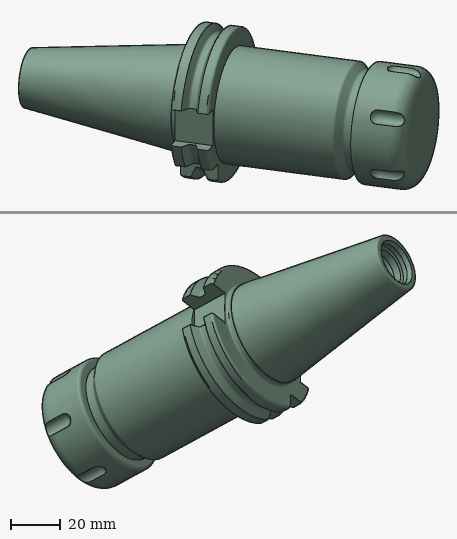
import cadquery as cq
import math

total_length = 168.2
gauge_x = 68.3
flange_front_x = 71.2
flange_back_x = 87.3
body_end_x = 138.3
nut_back_x = 145.5

taper_ratio = 7 / 48
gauge_radius = 22.2
taper_end_x = 67.5
tip_round = 0.8

relief_start_x = 68.5
relief_radius = 21.9
relief_fillet = 1.0

mouth_radius = 9.8
mouth_chamfer_end_x = 2.0
counterbore_radius = 9.1
counterbore_end_x = 4.0
pilot_radius = 7.9
pilot_start_x = 4.5
pilot_end_x = 7.7
drill_radius = 6.9
drill_start_x = 9.3
drill_end_x = 30.3
drill_point_angle = 118.0

flange_diameter = 63.5
flange_radius = flange_diameter / 2
flange_edge_round = 1.0
groove_x = (flange_front_x + flange_back_x) / 2
groove_radius = 28.1
groove_bottom_width = 2.9
groove_flank_angle = 30.0
groove_corner_fillet = 0.8
drive_slot_width = 15.8
near_slot_floor = 25.0
far_slot_floor = 22.5
corner_notch_offset = 18.5
corner_notch_fillet = 1.0

body_radius = 24.0
neck_radius = 20.9
shoulder_round = 0.8

nut_radius = 25.0
nut_front_round = 6.0
nut_back_round = 1.3
wrench_slot_count = 6
wrench_slot_radius = 3.0
wrench_slot_depth = 2.4
wrench_slot_start_x = 156.1

position_tolerance = 0.02


def revolve_about_x(profile):
    """Spin a closed profile drawn as (x, radius) about the X axis."""
    return profile.close().revolve(360, (0, 0, 0), (1, 0, 0))


def round_circles(solid, places, fillet_radius):
    """Fillet the circular edges found at the given (x, radius) places."""

    def is_wanted(edge):
        return any(
            abs(edge.Center().x - x) < position_tolerance and abs(edge.radius() - radius) < position_tolerance
            for x, radius in places
        )

    edges = solid.edges("%CIRCLE").filter(is_wanted)
    return solid.newObject(edges.vals()).fillet(fillet_radius)


def taper_radius(x):
    """Radius of the cone at a station, reaching the gauge radius at the gauge plane."""
    return gauge_radius - taper_ratio * (gauge_x - x)


def make_shank_and_flange():
    groove_half_bottom = groove_bottom_width / 2
    groove_depth = flange_radius - groove_radius
    groove_half_top = groove_half_bottom + groove_depth * math.tan(math.radians(groove_flank_angle))
    groove_corners = [
        (groove_x - groove_half_bottom, groove_radius),
        (groove_x + groove_half_bottom, groove_radius),
    ]
    flange_front_edge = (flange_front_x, flange_radius)
    flange_back_edge = (flange_back_x, flange_radius)
    tip_edge = (0, taper_radius(0))
    relief_corner = (flange_front_x, relief_radius)
    taper_end_radius = taper_radius(taper_end_x)
    profile = cq.Workplane("XY").polyline([
        (0, 0),
        tip_edge,
        (taper_end_x, taper_end_radius),
        (relief_start_x, taper_end_radius),
        (relief_start_x, relief_radius),
        relief_corner,
        flange_front_edge,
        (groove_x - groove_half_top, flange_radius),
        *groove_corners,
        (groove_x + groove_half_top, flange_radius),
        flange_back_edge,
        (flange_back_x, 0),
    ])
    shank = revolve_about_x(profile)
    shank = round_circles(shank, [tip_edge], tip_round)
    shank = round_circles(shank, [relief_corner], relief_fillet)
    shank = round_circles(shank, [flange_front_edge, flange_back_edge], flange_edge_round)
    return round_circles(shank, groove_corners, groove_corner_fillet)


def make_body_and_neck():
    shoulder_start = (body_end_x, body_radius)
    shoulder_end = (body_end_x + body_radius - neck_radius, neck_radius)
    profile = cq.Workplane("XY").polyline([
        (flange_back_x, 0),
        (flange_back_x, body_radius),
        shoulder_start,
        shoulder_end,
        (nut_back_x, neck_radius),
        (nut_back_x, 0),
    ])
    return round_circles(revolve_about_x(profile), [shoulder_start, shoulder_end], shoulder_round)


def make_drawbar_hole():
    point_length = drill_radius / math.tan(math.radians(drill_point_angle / 2))
    profile = cq.Workplane("XY").polyline([
        (0, 0),
        (0, mouth_radius),
        (mouth_chamfer_end_x, counterbore_radius),
        (counterbore_end_x, counterbore_radius),
        (pilot_start_x, pilot_radius),
        (pilot_end_x, pilot_radius),
        (drill_start_x, drill_radius),
        (drill_end_x, drill_radius),
        (drill_end_x + point_length, 0),
    ])
    return revolve_about_x(profile)


def flange_cutter(y_start, y_end, z_start, z_end):
    """Box across the full flange thickness."""
    return cq.Workplane("XY").box(
        flange_back_x - flange_front_x, y_end - y_start, z_end - z_start, centered=False
    ).translate((flange_front_x, y_start, z_start))


def make_drive_slots():
    half_width = drive_slot_width / 2
    near = flange_cutter(-flange_radius, -near_slot_floor, -half_width, half_width)
    far = flange_cutter(far_slot_floor, flange_radius, -half_width, half_width)
    return near.union(far)


def make_corner_notch():
    """Square notch in the -Y, -Z quadrant of the flange, rounded in its inner corner."""
    notch = flange_cutter(-flange_radius, -corner_notch_offset, -flange_radius, -corner_notch_offset)
    return notch.edges("|X and >Y and >Z").fillet(corner_notch_fillet)


def make_holder():
    shank = make_shank_and_flange().cut(make_drive_slots()).cut(make_corner_notch())
    return shank.union(make_body_and_neck()).cut(make_drawbar_hole())


def make_wrench_slot():
    """Round-bottomed slot on the +Z side, with a ball end toward the holder."""
    ball = cq.Workplane("XY").sphere(wrench_slot_radius)
    run = cq.Workplane("YZ").circle(wrench_slot_radius).extrude(total_length - wrench_slot_start_x)
    slot_axis_z = nut_radius - wrench_slot_depth + wrench_slot_radius
    return ball.union(run).translate((wrench_slot_start_x, 0, slot_axis_z))


def make_collet_nut():
    round_middle = nut_front_round * math.sqrt(0.5)
    front_centre_x = total_length - nut_front_round
    front_face_radius = nut_radius - nut_front_round
    profile = (
        cq.Workplane("XY")
        .moveTo(nut_back_x, 0)
        .lineTo(nut_back_x, nut_radius)
        .lineTo(front_centre_x, nut_radius)
        .threePointArc(
            (front_centre_x + round_middle, front_face_radius + round_middle),
            (total_length, front_face_radius),
        )
        .lineTo(total_length, 0)
    )
    nut = round_circles(revolve_about_x(profile), [(nut_back_x, nut_radius)], nut_back_round)
    slot = make_wrench_slot()
    for index in range(wrench_slot_count):
        angle = index * 360 / wrench_slot_count
        nut = nut.cut(slot.rotate((0, 0, 0), (1, 0, 0), angle))
    return nut


holder = make_holder()
collet_nut = make_collet_nut()

result = cq.Compound.makeCompound([holder.val(), collet_nut.val()])